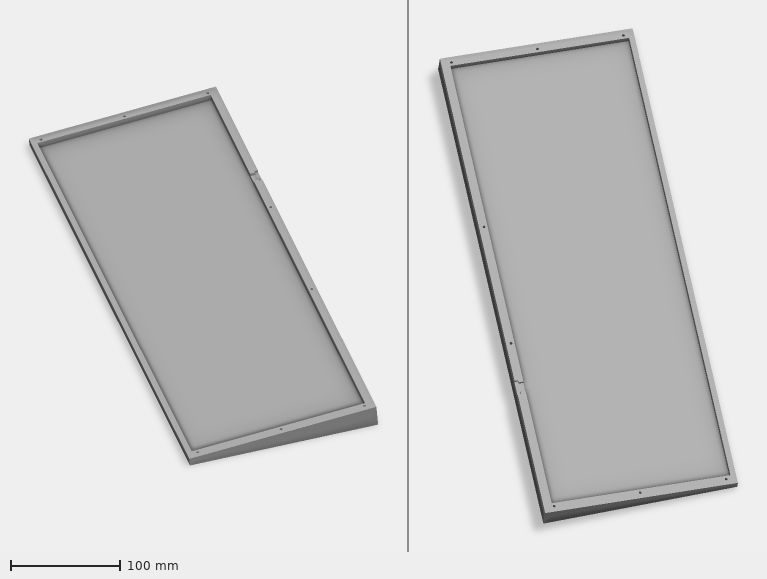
import cadquery as cq
import math

length = 470.0
depth = 182.5
back_height = 22.0
tilt = math.radians(4.4)

slope = math.tan(tilt)
front_y = -depth / 2
back_y = depth / 2
back_lean = back_height * slope
top_run = depth - back_lean
front_height = back_height - top_run * slope
front_lean = front_height * slope
top_length = top_run / math.cos(tilt)

side_rim = 9.0
front_rim = 5.0
back_rim = 8.0
tray_depth = 6.5
tray_end = top_length - back_rim

screw_diameter = 2.55
screw_depth = 6.5
side_screw_inset = 5.5
side_screw_places = (10.0, 90.5, 171.5)
back_screw_inset = 4.5
back_screw_offset = 60.0

notch_x = -105.5
notch_width = 10.0
notch_depth = 3.0
plug_width = 14.0
plug_depth = 2.5
plug_reach = 3.5
plug_start = top_length - plug_reach

top_plane = cq.Plane(
    origin=(0, front_y, front_height),
    xDir=(1, 0, 0),
    normal=(0, -math.sin(tilt), math.cos(tilt)),
)


def wedge_body():
    """Solid wedge with leaning front and back walls."""
    outline = [
        (front_y + front_lean, 0),
        (front_y, front_height),
        (back_y - back_lean, back_height),
        (back_y, 0),
    ]
    return cq.Workplane("YZ").polyline(outline).close().extrude(length / 2, both=True)


def pocket(x, width, start, end, pocket_depth):
    """Rectangular cutter sunk square into the sloped top."""
    return (
        cq.Workplane(top_plane)
        .center(x, (start + end) / 2)
        .rect(width, end - start)
        .extrude(-pocket_depth)
    )


def screw_holes():
    """Blind holes along both side rims and the back rim."""
    side_screw_x = length / 2 - side_screw_inset
    back_screw_place = top_length - back_screw_inset
    centers = []
    for side in (-1, 1):
        centers += [(side * side_screw_x, place) for place in side_screw_places]
        centers.append((side * back_screw_offset, back_screw_place))
    return cq.Workplane(top_plane).pushPoints(centers).circle(screw_diameter / 2).extrude(-screw_depth)


tray = pocket(0, length - 2 * side_rim, front_rim, tray_end, tray_depth)
notch = pocket(notch_x, notch_width, tray_end, plug_start, notch_depth)
plug_recess = pocket(notch_x, plug_width, plug_start, top_length, plug_depth)

result = wedge_body().cut(tray).cut(notch).cut(plug_recess).cut(screw_holes())